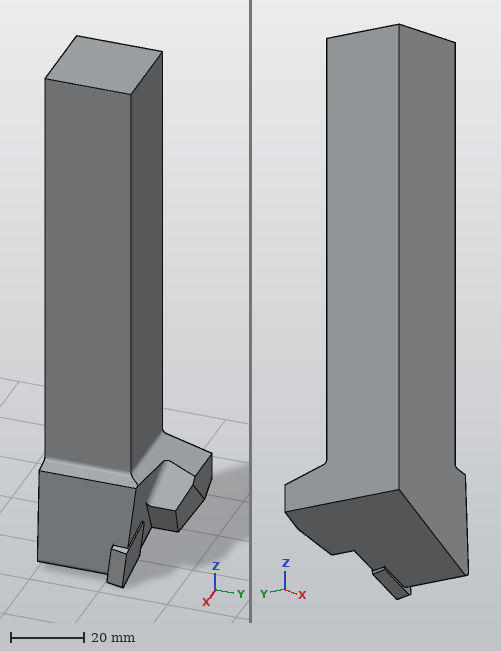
import cadquery as cq
import math

total_height = 151.4
shank_side = 25.0
head_depth = 39.4
shoulder_height = 31.8
shoulder_angle = 15
shoulder_fillet = 1.4

head_corner_height = 20.3
shoulder_reach = 29.5
flank_lean = 3
underside_angle = 31.5
head_nose_radius = 1.2

insert_edge = 11.7
insert_tip_angle = 55
insert_thickness = 4.7
insert_nose_radius = 0.8
insert_reach = 32.4
insert_tip_depth = 25.3
rake_angle = 6
insert_stand_out = 0.5

clearance_corner_x = 20.7
clearance_corner_z = 20.5
upper_wall_angle = 46
lower_wall_angle = 62
clearance_fillet = 1.5

back_cut_points = [
    cq.Vector(5.9, head_depth, 16.6),
    cq.Vector(15.6, 35.3, 10.7),
    cq.Vector(15.3, head_depth, 26.3),
]

block_size = 121.1
clearance_base_side = 4 * block_size


def tangent(degrees):
    return math.tan(math.radians(degrees))


def make_head():
    """Head with the shoulder falling to +X and +Y, sharing the hip line at the shank corner."""
    shoulder_end_z = shoulder_height - (shoulder_reach - shank_side) * tangent(shoulder_angle)
    flank_slope = tangent(flank_lean)
    underside_slope = tangent(underside_angle)
    nose_x = (shoulder_reach + (shoulder_end_z - head_corner_height) * flank_slope) / (
        1 - underside_slope * flank_slope
    )
    nose_z = head_corner_height - nose_x * underside_slope

    front_profile = (
        cq.Workplane("XZ")
        .moveTo(0, head_corner_height)
        .lineTo(0, shoulder_height)
        .lineTo(shank_side, shoulder_height)
        .lineTo(shoulder_reach, shoulder_end_z)
        .lineTo(nose_x, nose_z)
        .close()
        .extrude(-head_depth)
    )
    nose_edge = cq.selectors.NearestToPointSelector((nose_x, head_depth / 2, nose_z))
    front_profile = front_profile.edges(nose_edge).fillet(head_nose_radius)

    back_z = shoulder_height - (head_depth - shank_side) * tangent(shoulder_angle)
    side_profile = (
        cq.Workplane("YZ")
        .moveTo(0, 0)
        .lineTo(0, shoulder_height)
        .lineTo(shank_side, shoulder_height)
        .lineTo(head_depth, back_z)
        .lineTo(head_depth, 0)
        .close()
        .extrude(block_size)
    )
    return front_profile.intersect(side_profile)


def make_holder_blank():
    """Square shank joined to the head, with a fillet along the shoulder."""
    shank_length = total_height - head_corner_height
    shank = (
        cq.Workplane("XY")
        .workplane(offset=head_corner_height)
        .rect(shank_side, shank_side, centered=False)
        .extrude(shank_length)
    )
    blank = make_head().union(shank)
    middle = shank_side / 2
    side_edge = cq.selectors.NearestToPointSelector((shank_side, middle, shoulder_height))
    back_edge = cq.selectors.NearestToPointSelector((middle, shank_side, shoulder_height))
    return blank.edges(side_edge + back_edge).fillet(shoulder_fillet)


def rake_plane():
    """Plane of the rake face at the insert's nose centre; its local x follows +X and y follows +Z."""
    slope = tangent(rake_angle)
    nose_centre = (insert_reach - insert_nose_radius, insert_tip_depth, insert_nose_radius)
    return cq.Plane(origin=nose_centre, xDir=(1, -slope, 0), normal=(-slope, -1, slope))


def make_insert():
    """Rhombic insert with rounded acute corners, extruded from the rake face into the holder."""
    flank_direction = 90 + flank_lean
    base_direction = flank_direction + insert_tip_angle
    half_tip = insert_tip_angle / 2
    bisector = math.radians(flank_direction + half_tip)
    tip_distance = insert_nose_radius / math.sin(math.radians(half_tip))
    tip = cq.Vector(-tip_distance * math.cos(bisector), -tip_distance * math.sin(bisector))

    def edge_vector(degrees):
        angle = math.radians(degrees)
        return cq.Vector(math.cos(angle), math.sin(angle)) * insert_edge

    upper = tip + edge_vector(flank_direction)
    lower = tip + edge_vector(base_direction)
    far = upper + edge_vector(base_direction)
    corners = [(p.x, p.y) for p in (tip, upper, far, lower)]
    plane = rake_plane()
    insert = cq.Workplane(plane).polyline(corners).close().extrude(insert_thickness)
    for corner in (tip, far):
        edge_middle = plane.toWorldCoords((corner.x, corner.y, insert_thickness / 2))
        corner_edge = cq.selectors.NearestToPointSelector(edge_middle.toTuple())
        insert = insert.edges(corner_edge).fillet(insert_nose_radius)
    return insert


def make_chip_clearance():
    """Space above the chip face, between the two walls, open to +X, +Y and -Z."""
    rise = block_size / 2
    upper_x = clearance_corner_x - rise / tangent(upper_wall_angle)
    lower_x = clearance_corner_x - rise / tangent(lower_wall_angle)
    opening = (
        cq.Workplane("XZ")
        .moveTo(clearance_corner_x, clearance_corner_z)
        .lineTo(upper_x, clearance_corner_z + rise)
        .lineTo(block_size, clearance_corner_z + rise)
        .lineTo(block_size, clearance_corner_z - rise)
        .lineTo(lower_x, clearance_corner_z - rise)
        .close()
        .extrude(-block_size)
    )
    below_chip_face = (
        cq.Workplane(rake_plane())
        .workplane(offset=insert_stand_out)
        .rect(clearance_base_side, clearance_base_side)
        .extrude(block_size)
    )
    clearance = opening.cut(below_chip_face)
    chip_face = clearance.faces(cq.selectors.ParallelDirSelector(rake_plane().zDir))
    foot_middle = ((clearance_corner_x + upper_x) / 2, 0, clearance_corner_z + rise / 2)
    upper_wall_foot = chip_face.edges(cq.selectors.NearestToPointSelector(foot_middle))
    return upper_wall_foot.fillet(clearance_fillet)


def make_back_cut():
    """Block lying outside the sloping plane across the back of the head."""
    start, lower_end, upper_end = back_cut_points
    along = upper_end - start
    outward = along.cross(lower_end - start)
    plane = cq.Plane(origin=start, xDir=along, normal=outward)
    return cq.Workplane(plane).rect(block_size, block_size).extrude(block_size)


def make_holder(insert_seat):
    """Holder blank with its back cut, its chip clearance and the seat of the insert."""
    holder = make_holder_blank()
    holder = holder.cut(make_back_cut())
    holder = holder.cut(make_chip_clearance())
    return holder.cut(insert_seat)


insert = make_insert()
holder = make_holder(insert)

result = cq.Compound.makeCompound([*holder.solids().vals(), insert.val()])